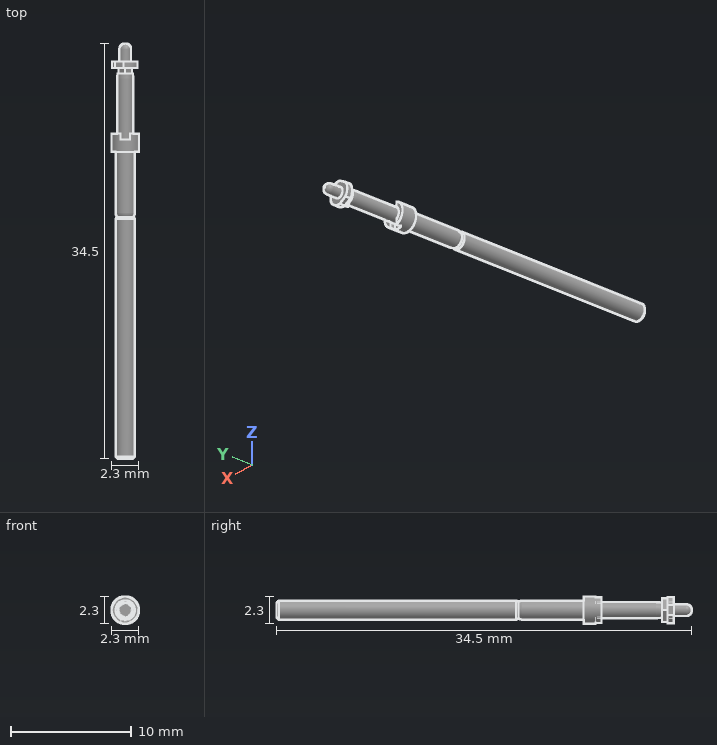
import cadquery as cq
import math

length = 34.5
tip_y = length / 2

tip_radius = 0.5
tip_length = 1.5
tip_rounding = 0.48

flange_radius = 1.1
flange_end = 2.05
flat_count = 3
flat_width = 0.82
neck_half_height = 1.0
neck_half_width = neck_half_height / math.sqrt(3)
neck_end = 2.5

plunger_radius = 0.68
plunger_edge_radius = 0.65
plunger_taper_end = 2.95

collar_radius = 1.15
collar_start = 7.5
collar_end = 9.0
slot_width = 0.76
slot_length = 0.5

barrel_radius = 0.8
groove_start = 14.1
groove_bottom = 14.4
groove_end = 14.6
groove_depth = 0.1
end_chamfer = 0.2


def cylinder(radius, start, end):
    """Round length of the pin between two distances from the tip."""
    return cq.Workplane("XZ", origin=(0, tip_y - start, 0)).circle(radius).extrude(end - start)


def make_tip():
    """Pin tip with an almost hemispherical end."""
    return cylinder(tip_radius, 0, tip_length).faces(">Y").edges().fillet(tip_rounding)


def make_flange():
    """Disc with three equally spaced flats on its rim."""
    flange = cylinder(flange_radius, tip_length, flange_end)
    flat_distance = math.sqrt(flange_radius**2 - (flat_width / 2) ** 2)
    for index in range(flat_count):
        angle = index * 360 / flat_count
        cutter = cq.Workplane("XY").box(flange_radius, length, flange_radius * 2)
        cutter = cutter.translate((flat_distance + flange_radius / 2, 0, 0))
        flange = flange.cut(cutter.rotate((0, 0, 0), (0, 1, 0), -angle))
    return flange


def make_neck():
    """Rhombic prism, taller in Z than it is wide in X."""
    corners = [
        (0, neck_half_height),
        (neck_half_width, 0),
        (0, -neck_half_height),
        (-neck_half_width, 0),
    ]
    plane = cq.Workplane("XZ", origin=(0, tip_y - flange_end, 0))
    return plane.polyline(corners).close().extrude(neck_end - flange_end)


def make_plunger():
    """Plunger that narrows slightly towards the neck."""
    profile = [
        (0, tip_y - neck_end),
        (plunger_edge_radius, tip_y - neck_end),
        (plunger_radius, tip_y - plunger_taper_end),
        (plunger_radius, tip_y - collar_start),
        (0, tip_y - collar_start),
    ]
    return cq.Workplane("XY").polyline(profile).close().revolve(360, (0, 0, 0), (0, 1, 0))


def make_collar():
    """Collar slotted above and below, down to the plunger surface."""
    collar = cylinder(collar_radius, collar_start, collar_end)
    slot = cq.Workplane("XY").box(slot_width, slot_length, 2 * collar_radius)
    slot = slot.translate((0, tip_y - collar_start - slot_length / 2, 0))
    core = cylinder(plunger_radius, collar_start, collar_end)
    return collar.cut(slot.cut(core))


def make_barrel():
    """Barrel with a shallow ring groove and a chamfered tail."""
    groove_radius = barrel_radius - groove_depth
    end_radius = barrel_radius - end_chamfer
    profile = (
        cq.Workplane("XY")
        .moveTo(0, tip_y - collar_end)
        .lineTo(barrel_radius, tip_y - collar_end)
        .lineTo(barrel_radius, tip_y - groove_start)
        .tangentArcPoint((groove_radius, tip_y - groove_bottom), relative=False)
        .lineTo(barrel_radius, tip_y - groove_end)
        .lineTo(barrel_radius, tip_y - length + end_chamfer)
        .lineTo(end_radius, tip_y - length)
        .lineTo(0, tip_y - length)
        .close()
    )
    return profile.revolve(360, (0, 0, 0), (0, 1, 0))


result = make_tip()
for section in (make_flange(), make_neck(), make_plunger(), make_collar(), make_barrel()):
    result = result.union(section)